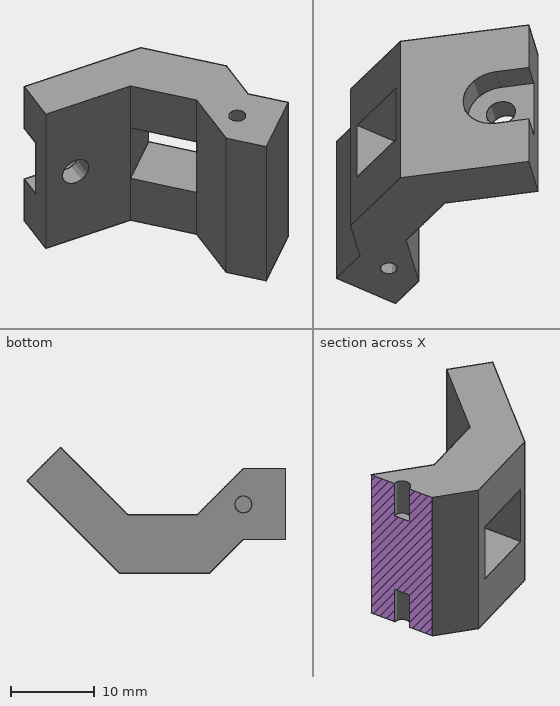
import cadquery as cq
import math

length = 30.8
depth = 15.05
height = 21.2

arm_end_step = 4.0
middle_thickness = 7.02
middle_back_end = 21.75
block_length = 5.02
block_front_drop = 12.5
window_height = 7.98

recess_width = window_height
recess_depth = 3.0
arm_hole_diameter = 3.5
arm_hole_from_end = recess_width / 2

pivot_diameter = 2.0
pivot_depth = 4.93
pivot_drop = 8.23

arm_end_y = arm_end_step - depth
middle_back_start = -arm_end_y
block_start = length - block_length
block_back_y = middle_back_end - block_start
arm_tip = (arm_end_step, -depth)
middle_front_start = arm_end_step + depth - middle_thickness
middle_front_end = block_start - (block_front_drop - middle_thickness)


def make_bar():
    outline = [
        (0, arm_end_y),
        (middle_back_start, 0),
        (middle_back_end, 0),
        (block_start, block_back_y),
        (length, block_back_y),
        (length, -block_front_drop),
        (block_start, -block_front_drop),
        (middle_front_end, -middle_thickness),
        (middle_front_start, -middle_thickness),
        arm_tip,
    ]
    return cq.Workplane("XY").workplane(offset=-height / 2).polyline(outline).close().extrude(height)


def make_window():
    window_length = middle_front_end - middle_front_start
    return (
        cq.Workplane("XY")
        .box(window_length, middle_thickness, window_height)
        .translate((middle_front_start + window_length / 2, -middle_thickness / 2, 0))
    )


def make_arm_cuts():
    arm_face = cq.Plane(origin=(0, arm_end_y, 0), xDir=(1, 1, 0), normal=(-1, 1, 0))
    half_width = recess_width / 2
    recess = (
        cq.Workplane(arm_face)
        .moveTo(0, -half_width)
        .lineTo(arm_hole_from_end, -half_width)
        .threePointArc((arm_hole_from_end + half_width, 0), (arm_hole_from_end, half_width))
        .lineTo(0, half_width)
        .close()
        .extrude(-recess_depth)
    )
    arm_thickness = math.sqrt(2) * arm_end_step
    hole = (
        cq.Workplane(arm_face)
        .center(arm_hole_from_end, 0)
        .circle(arm_hole_diameter / 2)
        .extrude(-arm_thickness)
    )
    return recess.union(hole)


def make_pivot_hole(side):
    return (
        cq.Workplane("XY")
        .workplane(offset=side * height / 2)
        .center(block_start, -pivot_drop)
        .circle(pivot_diameter / 2)
        .extrude(-side * pivot_depth)
    )


result = make_bar().cut(make_window()).cut(make_arm_cuts())
for side in (1, -1):
    result = result.cut(make_pivot_hole(side))